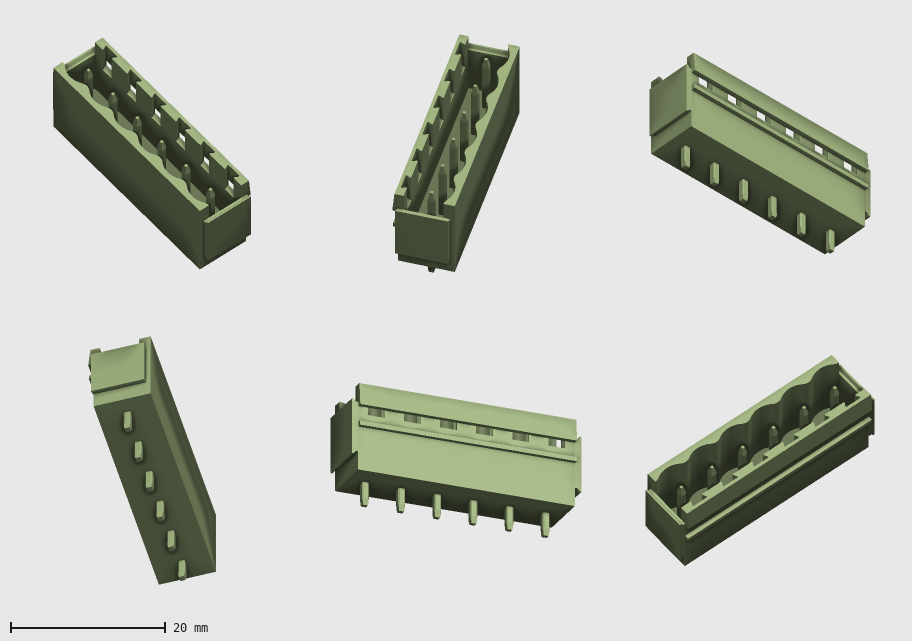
import cadquery as cq
import math


PIN_COUNT = 6
OVERALL_LENGTH = 32.25

HOUSING_LENGTH = 30.47
PITCH = HOUSING_LENGTH / PIN_COUNT
HOUSING_DEPTH = 7.67
HOUSING_HEIGHT = 12.0
FRONT_WALL = 1.55
BACK_WALL = 0.8
CAVITY_BACK = HOUSING_DEPTH - BACK_WALL

WAVE_DEPTH = 0.77
VALLEY_RADIUS = 3.22

LIP_UNDERSIDE = 8.93
LIP_BOTTOM_DEPTH = 8.4
LIP_TOP_DEPTH = 8.12
RIB_BOTTOM = 6.05
RIB_HEIGHT = 0.6
RIB_DEPTH = 8.32

SLOT_FLOOR = 7.9
SLOT_WIDTH_INSIDE = 2.35
SLOT_WIDTH_MOUTH = 1.87
SLOT_STRAIGHT = 0.2

PLATE_FRONT = 0.65
PLATE_BACK = 7.77
PLATE_BOTTOM = 2.13
PLATE_TOP = 9.85
PLATE_RIM = 0.23
FLANGE_OVERHANG = 0.4
FLANGE_SLOPE = 0.3
NECK_BOTTOM = PLATE_BOTTOM + FLANGE_OVERHANG
NECK_TOP = PLATE_TOP - FLANGE_OVERHANG
CAVITY_FLOOR = NECK_BOTTOM

PIN_Y = 3.8
PIN_WIDTH = 0.97
PIN_EDGE_CHAMFER = 0.15
PIN_BOTTOM = -3.2
PIN_TOP = 11.1
LOWER_TIP_LENGTH = 0.97
LOWER_TIP_WIDTH = 0.68
UPPER_TIP_LENGTH = 1.3
UPPER_TIP_WIDTH = 0.4

PIN_POSITIONS = [(i - (PIN_COUNT - 1) / 2) * PITCH for i in range(PIN_COUNT)]


def along_length(points):
    """Closed (Y, Z) outline, extruded over the whole housing length."""
    return cq.Workplane("YZ").polyline(points).close().extrude(HOUSING_LENGTH / 2, both=True)


def make_housing_body():
    """Block with the tapered lip and the rib along its back."""
    outline = [
        (0, 0),
        (HOUSING_DEPTH, 0),
        (HOUSING_DEPTH, RIB_BOTTOM),
        (RIB_DEPTH, RIB_BOTTOM),
        (RIB_DEPTH, RIB_BOTTOM + RIB_HEIGHT),
        (HOUSING_DEPTH, RIB_BOTTOM + RIB_HEIGHT),
        (HOUSING_DEPTH, LIP_UNDERSIDE),
        (LIP_BOTTOM_DEPTH, LIP_UNDERSIDE),
        (LIP_TOP_DEPTH, HOUSING_HEIGHT),
        (0, HOUSING_HEIGHT),
    ]
    return along_length(outline)


def make_cavity():
    """Space between the walls, open at both ends, with a wavy front side of tangent arcs."""
    half_pitch = PITCH / 2
    centre_distance = (half_pitch**2 + WAVE_DEPTH**2) / (2 * WAVE_DEPTH)
    crest_radius = centre_distance - VALLEY_RADIUS
    blend_angle = math.asin(half_pitch / centre_distance)
    valley_centre_y = FRONT_WALL - WAVE_DEPTH + VALLEY_RADIUS
    crest_centre_y = FRONT_WALL - crest_radius

    blend_x = VALLEY_RADIUS * math.sin(blend_angle)
    blend_y = valley_centre_y - VALLEY_RADIUS * math.cos(blend_angle)
    mid_crest_x = half_pitch - crest_radius * math.sin(blend_angle / 2)
    mid_crest_y = crest_centre_y + crest_radius * math.cos(blend_angle / 2)

    half_length = HOUSING_LENGTH / 2
    outline = cq.Workplane().moveTo(-half_length, CAVITY_BACK).lineTo(-half_length, FRONT_WALL)
    for x in PIN_POSITIONS:
        outline = (
            outline.threePointArc((x - mid_crest_x, mid_crest_y), (x - blend_x, blend_y))
            .threePointArc((x, FRONT_WALL - WAVE_DEPTH), (x + blend_x, blend_y))
            .threePointArc((x + mid_crest_x, mid_crest_y), (x + half_pitch, FRONT_WALL))
        )
    outline = outline.lineTo(half_length, CAVITY_BACK).close()
    return outline.extrude(HOUSING_HEIGHT - CAVITY_FLOOR).translate((0, 0, CAVITY_FLOOR))


def make_dovetail_slot(x):
    """Dovetail slot as deep as the back wall is thick, so that it opens to the back under the lip."""
    inside = SLOT_WIDTH_INSIDE / 2
    mouth = SLOT_WIDTH_MOUTH / 2
    outline = [
        (x - mouth, CAVITY_BACK),
        (x - mouth, CAVITY_BACK + SLOT_STRAIGHT),
        (x - inside, HOUSING_DEPTH - SLOT_STRAIGHT),
        (x - inside, HOUSING_DEPTH),
        (x + inside, HOUSING_DEPTH),
        (x + inside, HOUSING_DEPTH - SLOT_STRAIGHT),
        (x + mouth, CAVITY_BACK + SLOT_STRAIGHT),
        (x + mouth, CAVITY_BACK),
    ]
    slot = cq.Workplane().polyline(outline).close().extrude(HOUSING_HEIGHT - SLOT_FLOOR)
    return slot.translate((0, 0, SLOT_FLOOR))


def make_end_wall():
    """End wall at -X: a neck standing on the housing's end, widening to a plate at top and bottom."""
    plate_x = -OVERALL_LENGTH / 2
    rim_x = plate_x + PLATE_RIM
    neck_x = rim_x + FLANGE_SLOPE
    end_x = -HOUSING_LENGTH / 2
    outline = [
        (plate_x, PLATE_BOTTOM),
        (rim_x, PLATE_BOTTOM),
        (neck_x, NECK_BOTTOM),
        (end_x, NECK_BOTTOM),
        (end_x, NECK_TOP),
        (neck_x, NECK_TOP),
        (rim_x, PLATE_TOP),
        (plate_x, PLATE_TOP),
    ]
    wall = cq.Workplane("XZ").polyline(outline).close().extrude(PLATE_FRONT - PLATE_BACK)
    return wall.translate((0, PLATE_FRONT, 0))


def make_housing():
    """Housing with its end walls, dovetail slots and holes that match the pins."""
    end_wall = make_end_wall()
    housing = make_housing_body().cut(make_cavity())
    housing = housing.union(end_wall).union(end_wall.mirror("YZ"))
    for x in PIN_POSITIONS:
        housing = housing.cut(make_dovetail_slot(x)).cut(make_pin(x))
    return housing


def make_pin(x):
    """Straight pin with chamfered long edges and a four-sided taper at each end."""
    half = PIN_WIDTH / 2
    profile = [
        (-LOWER_TIP_WIDTH / 2, PIN_BOTTOM),
        (LOWER_TIP_WIDTH / 2, PIN_BOTTOM),
        (half, PIN_BOTTOM + LOWER_TIP_LENGTH),
        (half, PIN_TOP - UPPER_TIP_LENGTH),
        (UPPER_TIP_WIDTH / 2, PIN_TOP),
        (-UPPER_TIP_WIDTH / 2, PIN_TOP),
        (-half, PIN_TOP - UPPER_TIP_LENGTH),
        (-half, PIN_BOTTOM + LOWER_TIP_LENGTH),
    ]
    bar = cq.Workplane().rect(PIN_WIDTH, PIN_WIDTH).extrude(PIN_TOP - PIN_BOTTOM)
    pin = bar.edges("|Z").chamfer(PIN_EDGE_CHAMFER).translate((0, 0, PIN_BOTTOM))
    for plane in ("XZ", "YZ"):
        pin = pin.intersect(cq.Workplane(plane).polyline(profile).close().extrude(PIN_WIDTH, both=True))
    return pin.translate((x, PIN_Y, 0))


housing = make_housing()
pins = [make_pin(x) for x in PIN_POSITIONS]

result = cq.Compound.makeCompound([housing.val(), *[pin.val() for pin in pins]])